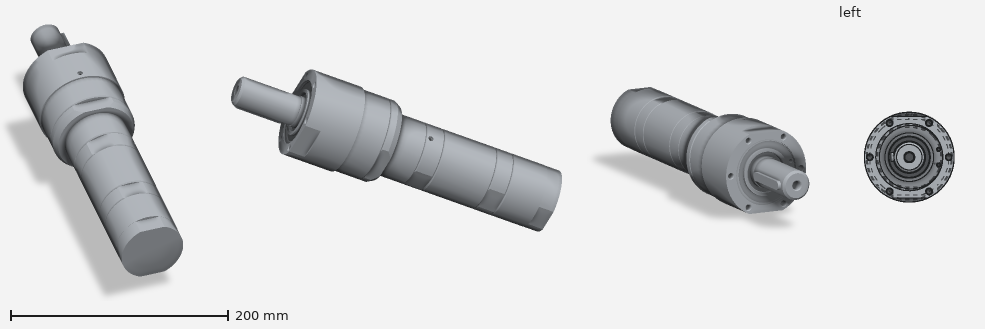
import cadquery as cq
import math


SHAFT_SHOULDER = 59.5
FACE_X = 62.2
HEAD_FLAT_END = 77.5
HEAD_END = 111.5
NUT_START = 139.0
NUT_TAPER_START = 145.7
NUT_END = 151.5
COLLAR_START = 180.0
COLLAR_END = 198.0
WRENCH_START = 251.5
WRENCH_END = 268.3
TAIL_START = 302.5
LENGTH = 317.5

SHAFT_R = 14.0
SHOULDER_R = 15.0
HEAD_R = 83.0 / 2
SLEEVE_R = 39.7
NUT_TAPER_R = 36.5
BARREL_R = 60.0 / 2
TAIL_R = 59.7 / 2
SHAFT_CHAMFER = 2.2
JOINT_DEPTH = 1.0

HEAD_FLATS = 75.2
NUT_FLATS = 69.5
BARREL_FLATS = 55.0
COLLAR_TILT = 15.0

KEY_START = 5.0
KEY_LENGTH = 50.0
KEY_WIDTH = 8.3
KEY_TOP = 16.8
KEY_BASE = 11.0

RECESS_R = 62.0 / 2
RECESS_DEPTH = 1.5
COVER_R = 29.2
COVER_OFFSET = 1.5
COVER_DEPTH = 1.3
HUB_R = 44.8 / 2
SEAL_D = 37.0
SEAL_MOUTH_D = 38.7
SEAL_DEPTH = 3.2

CENTRE_D = 8.3
CENTRE_MOUTH_D = 10.2
CENTRE_DEPTH = 16.0

BOLT_CIRCLE_R = 72.7 / 2
BOLT_COUNT = 6
BOLT_D = 5.0
BOLT_MOUTH_D = 6.5
BOLT_DEPTH = 9.5
DRILL_HALF_ANGLE = 59.0

COVER_HOLE_D = 2.5
COVER_HOLE_MOUTH_D = 3.8
COVER_HOLE_DEPTH = 4.8
COVER_HOLE_Y = -27.0
COVER_HOLE_SPACING = 14.3

PORT_DIAMETERS = (5.0, 3.2, 1.55)
PORT_STEP = 2.0
HEAD_PORT_X = 105.5
COLLAR_PORT_X = 184.5


def cylinder(x, radius, length, y=0.0):
    """Cylinder parallel to X that starts at x."""
    return cq.Workplane("YZ", origin=(x, y, 0)).circle(radius).extrude(length)


def cylinder_up(x, bottom, diameter):
    """Cylinder parallel to Z that reaches from bottom to clear of the body."""
    return cq.Workplane("XY", origin=(x, 0, bottom)).circle(diameter / 2).extrude(2 * HEAD_R - bottom)


def revolved(outline):
    """Solid of revolution about the X axis from (x, radius) points."""
    return cq.Workplane("XY").polyline(outline).close().revolve(360, (0, 0, 0), (1, 0, 0))


def joint(x, radius):
    """Outline points of a V groove centred at x."""
    return [(x - JOINT_DEPTH, radius), (x, radius - JOINT_DEPTH), (x + JOINT_DEPTH, radius)]


def make_body():
    outline = [
        (0, 0),
        (0, SHAFT_R - SHAFT_CHAMFER),
        (SHAFT_CHAMFER, SHAFT_R),
        (SHAFT_SHOULDER, SHAFT_R),
        (SHAFT_SHOULDER, SHOULDER_R),
        (FACE_X, SHOULDER_R),
        (FACE_X, HEAD_R),
        (HEAD_END, HEAD_R),
        (HEAD_END, SLEEVE_R),
        *joint(NUT_START, SLEEVE_R),
        (NUT_TAPER_START, SLEEVE_R),
        (NUT_END, NUT_TAPER_R),
        (NUT_END, BARREL_R),
    ]
    for x in (COLLAR_START, COLLAR_END, WRENCH_START, WRENCH_END):
        outline += joint(x, BARREL_R)
    outline += [(TAIL_START, BARREL_R), (TAIL_START, TAIL_R), (LENGTH, TAIL_R), (LENGTH, 0)]
    return revolved(outline)


def flat_pair(start, end, across, tilt=0.0):
    """Material outside two opposite flats, facing +Z and -Z before the tilt."""
    size = 2 * HEAD_R
    core = cq.Workplane("XY").box(end - start, size, across)
    slabs = cq.Workplane("XY").box(end - start, size, 2 * size).cut(core)
    slabs = slabs.translate(((start + end) / 2, 0, 0))
    return slabs.rotate((0, 0, 0), (1, 0, 0), tilt)


def make_key():
    return (
        cq.Workplane("XZ", origin=(KEY_START + KEY_LENGTH / 2, KEY_BASE, 0))
        .slot2D(KEY_LENGTH, KEY_WIDTH)
        .extrude(KEY_BASE - KEY_TOP)
    )


def hole(x, diameter, mouth, depth):
    """Blind hole on the axis, chamfered at the mouth, with a flat bottom."""
    radius = diameter / 2
    chamfer = (mouth - diameter) / 2
    profile = [(x, 0), (x, mouth / 2), (x + chamfer, radius), (x + depth, radius), (x + depth, 0)]
    return revolved(profile)


def drill_point(x, diameter):
    """Conical bottom of a drilled hole, with its base at x."""
    radius = diameter / 2
    length = radius / math.tan(math.radians(DRILL_HALF_ANGLE))
    return revolved([(x, 0), (x, radius), (x + length, 0)])


def face_recesses():
    """Two nested recesses around a hub, and the seal recess between hub and shaft shoulder."""
    recess = cylinder(FACE_X, RECESS_R, RECESS_DEPTH)
    cover = cylinder(FACE_X, COVER_R, RECESS_DEPTH + COVER_DEPTH, y=-COVER_OFFSET)
    hub = cylinder(FACE_X, HUB_R, RECESS_DEPTH + COVER_DEPTH)
    seal = hole(FACE_X, SEAL_D, SEAL_MOUTH_D, SEAL_DEPTH)
    seal = seal.cut(cylinder(FACE_X, SHOULDER_R, SEAL_DEPTH))
    return recess.union(cover).cut(hub).union(seal)


def bolt_hole():
    return hole(FACE_X, BOLT_D, BOLT_MOUTH_D, BOLT_DEPTH).union(drill_point(FACE_X + BOLT_DEPTH, BOLT_D))


def port(x, radius, angle):
    """Stepped port into a surface of the given radius, turned about X from the +Z side."""
    steps = cylinder_up(x, radius - PORT_STEP, PORT_DIAMETERS[0])
    for number, diameter in enumerate(PORT_DIAMETERS[1:], start=2):
        steps = steps.union(cylinder_up(x, radius - number * PORT_STEP, diameter))
    return steps.rotate((0, 0, 0), (1, 0, 0), angle)


result = make_body().union(make_key())

result = result.cut(flat_pair(FACE_X, HEAD_FLAT_END, HEAD_FLATS))
result = result.cut(flat_pair(NUT_START, NUT_END, NUT_FLATS))
result = result.cut(flat_pair(COLLAR_START, COLLAR_END, BARREL_FLATS, COLLAR_TILT))
result = result.cut(flat_pair(WRENCH_START, WRENCH_END, BARREL_FLATS))
result = result.cut(flat_pair(TAIL_START, LENGTH, BARREL_FLATS))

result = result.cut(face_recesses())

for index in range(BOLT_COUNT):
    result = result.cut(
        bolt_hole().translate((0, BOLT_CIRCLE_R, 0)).rotate((0, 0, 0), (1, 0, 0), index * 360 / BOLT_COUNT)
    )

cover_floor = FACE_X + RECESS_DEPTH + COVER_DEPTH
cover_hole = hole(cover_floor, COVER_HOLE_D, COVER_HOLE_MOUTH_D, COVER_HOLE_DEPTH)
for side in (-1, 1):
    result = result.cut(cover_hole.translate((0, COVER_HOLE_Y, side * COVER_HOLE_SPACING / 2)))

result = result.cut(hole(0, CENTRE_D, CENTRE_MOUTH_D, CENTRE_DEPTH))

result = result.cut(port(HEAD_PORT_X, HEAD_R, 0))
result = result.cut(port(COLLAR_PORT_X, BARREL_R, 90 + COLLAR_TILT))